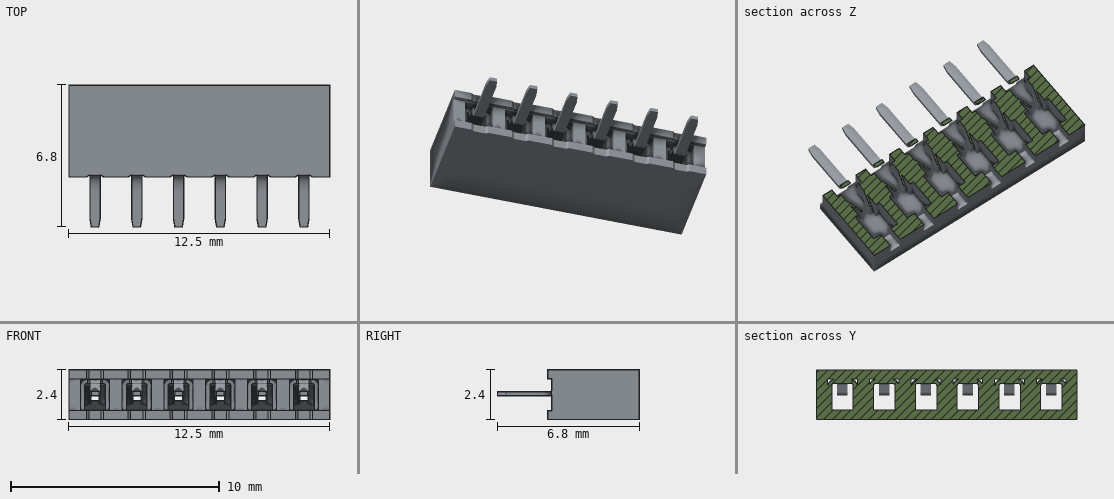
import math

import cadquery as cq

PIN_COUNT = 6
PITCH = 2.0

BODY_LENGTH = 12.5
BODY_DEPTH = 4.4
BODY_HEIGHT = 2.4
LIP_HEIGHT = 0.44
RECESS_DEPTH = 0.2

GROOVE_OUTER_WIDTH = 0.82
GROOVE_INNER_WIDTH = 0.58
GROOVE_DEPTH = 0.08

POCKET_WIDTH = 1.4
POCKET_HEIGHT = 1.46
FAR_WALL = 0.8
OPENING_SIZE = 0.57
POCKET_END = BODY_DEPTH - FAR_WALL

SHEET = 0.2
CHANNEL_START = 0.65
CHANNEL_LENGTH = 1.5
CHANNEL_INNER_RADIUS = 0.1
CHANNEL_OUTER_RADIUS = CHANNEL_INNER_RADIUS + SHEET
CHANNEL_TOP = POCKET_HEIGHT / 2
CHANNEL_END = CHANNEL_START + CHANNEL_LENGTH
SLIT_WIDTH = 0.1
SLIT_DEPTH = 0.2
SLIT_FILLET = 0.09

PIN_WIDTH = 0.5
PIN_TIP_WIDTH = 0.36
PIN_LENGTH = 2.4
PIN_TAPER_LENGTH = 0.4
PIN_TOP = 0.14
RAMP_START = 0.16
RAMP_ANGLE = math.radians(65)
LOW_BEND_RADIUS = 0.08
HIGH_BEND_RADIUS = 0.14

SPRING_TOP = 0.42
SPRING_BOTTOM = -0.44
SPRING_ROOT_BOTTOM = -0.49
SPRING_THICKNESS = 0.12
SPRING_ROOT_GAP = 0.94
SPRING_TIP_GAP = 0.38
SPRING_START = 1.2
SPRING_ROOT_LENGTH = 0.3
SPRING_ROOT_TAPER = 0.1
SPRING_ANGLE = math.radians(18)
SPRING_LENGTH = (SPRING_ROOT_GAP - SPRING_TIP_GAP) / 2 / math.tan(SPRING_ANGLE)
SPRING_END = SPRING_START + SPRING_LENGTH


def box(x_range, y_range, z_range):
    """Box spanning the given (low, high) pairs."""
    (x0, x1), (y0, y1), (z0, z1) = x_range, y_range, z_range
    return cq.Workplane("XY").box(x1 - x0, y1 - y0, z1 - z0, centered=False).translate((x0, y0, z0))


def centred(size):
    """The (low, high) pair of a size centred on zero."""
    return (-size / 2, size / 2)


def make_body():
    body = box(centred(BODY_LENGTH), (0, BODY_DEPTH), centred(BODY_HEIGHT))
    recess_height = BODY_HEIGHT - 2 * LIP_HEIGHT
    return body.cut(box(centred(BODY_LENGTH), (0, RECESS_DEPTH), centred(recess_height)))


def make_cavity():
    """Everything removed from the housing at one pin position."""
    groove = (
        cq.Workplane("XY")
        .polyline([
            (-GROOVE_OUTER_WIDTH / 2, 0),
            (GROOVE_OUTER_WIDTH / 2, 0),
            (GROOVE_INNER_WIDTH / 2, GROOVE_DEPTH),
            (-GROOVE_INNER_WIDTH / 2, GROOVE_DEPTH),
        ])
        .close()
        .extrude(BODY_HEIGHT / 2, both=True)
    )
    pocket = box(centred(POCKET_WIDTH), (0, POCKET_END), centred(POCKET_HEIGHT))
    opening = box(centred(OPENING_SIZE), (0, BODY_DEPTH), centred(OPENING_SIZE))
    return groove.union(pocket).union(opening)


def make_channel():
    """Inverted U of sheet metal with slits either side of the pin tab."""
    y_range = (CHANNEL_START, CHANNEL_END)
    outer = box(centred(POCKET_WIDTH), y_range, centred(POCKET_HEIGHT))
    outer = outer.edges("|Y and >Z").fillet(CHANNEL_OUTER_RADIUS)
    inner = box(centred(POCKET_WIDTH - 2 * SHEET), y_range, (-CHANNEL_TOP, CHANNEL_TOP - SHEET))
    inner = inner.edges("|Y and >Z").fillet(CHANNEL_INNER_RADIUS)
    channel = outer.cut(inner)
    slit_edge = PIN_WIDTH / 2
    slit = box(
        (slit_edge, slit_edge + SLIT_WIDTH),
        (CHANNEL_START, CHANNEL_START + SLIT_DEPTH),
        (CHANNEL_TOP - SHEET, CHANNEL_TOP),
    )
    slit = slit.edges("|Z and >Y and <X").fillet(SLIT_FILLET)
    channel = channel.cut(slit).cut(slit.mirror("YZ"))
    return channel


def make_pin():
    """Flat pin, bent up to the channel roof and tapered at its tip."""
    ramp_end = RAMP_START + (CHANNEL_TOP - PIN_TOP) / math.tan(RAMP_ANGLE)
    miter = SHEET * math.tan(RAMP_ANGLE / 2)
    tab_end = CHANNEL_START + SLIT_DEPTH
    low_bend = (RAMP_START, PIN_TOP)
    high_bend = (ramp_end, CHANNEL_TOP)
    high_bend_under = (ramp_end + miter, CHANNEL_TOP - SHEET)
    low_bend_under = (RAMP_START + miter, PIN_TOP - SHEET)
    pin = (
        cq.Workplane("YZ")
        .polyline([
            (-PIN_LENGTH, PIN_TOP),
            low_bend,
            high_bend,
            (tab_end, CHANNEL_TOP),
            (tab_end, CHANNEL_TOP - SHEET),
            high_bend_under,
            low_bend_under,
            (-PIN_LENGTH, PIN_TOP - SHEET),
        ])
        .close()
        .extrude(PIN_WIDTH / 2, both=True)
    )
    bend_fillets = (
        (low_bend, LOW_BEND_RADIUS),
        (low_bend_under, LOW_BEND_RADIUS + SHEET),
        (high_bend, HIGH_BEND_RADIUS + SHEET),
        (high_bend_under, HIGH_BEND_RADIUS),
    )
    for (y, z), radius in bend_fillets:
        pin = pin.edges(cq.NearestToPointSelector((0, y, z))).fillet(radius)
    outline = (
        cq.Workplane("XY")
        .polyline([
            (-PIN_TIP_WIDTH / 2, -PIN_LENGTH),
            (PIN_TIP_WIDTH / 2, -PIN_LENGTH),
            (PIN_WIDTH / 2, -PIN_LENGTH + PIN_TAPER_LENGTH),
            (PIN_WIDTH / 2, tab_end),
            (-PIN_WIDTH / 2, tab_end),
            (-PIN_WIDTH / 2, -PIN_LENGTH + PIN_TAPER_LENGTH),
        ])
        .close()
        .extrude(BODY_HEIGHT / 2, both=True)
    )
    return pin.intersect(outline)


def make_spring():
    """Spring arm on the +X side, leaning inwards away from the pin, deeper at its root."""
    root = SPRING_ROOT_GAP / 2
    tip = SPRING_TIP_GAP / 2
    plan = (
        cq.Workplane("XY")
        .polyline([
            (root, SPRING_START),
            (root + SPRING_THICKNESS, SPRING_START),
            (tip + SPRING_THICKNESS, SPRING_END),
            (tip, SPRING_END),
        ])
        .close()
        .extrude(BODY_HEIGHT / 2, both=True)
    )
    root_end = SPRING_START + SPRING_ROOT_LENGTH
    side = (
        cq.Workplane("YZ")
        .polyline([
            (SPRING_START, SPRING_TOP),
            (SPRING_END, SPRING_TOP),
            (SPRING_END, SPRING_BOTTOM),
            (root_end + SPRING_ROOT_TAPER, SPRING_BOTTOM),
            (root_end, SPRING_ROOT_BOTTOM),
            (SPRING_START, SPRING_ROOT_BOTTOM),
        ])
        .close()
        .extrude(POCKET_WIDTH / 2)
    )
    return plan.intersect(side)


def make_contact():
    spring = make_spring()
    return make_channel().union(make_pin()).union(spring).union(spring.mirror("YZ"))


cavity = make_cavity()
contact = make_contact()
result = make_body()
for index in range(PIN_COUNT):
    pin_x = (index - (PIN_COUNT - 1) / 2) * PITCH
    result = result.cut(cavity.translate((pin_x, 0, 0)))
    result = result.union(contact.translate((pin_x, 0, 0)))